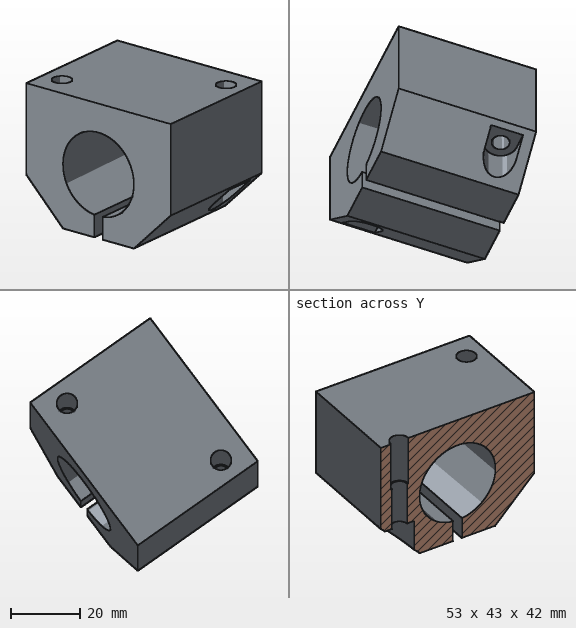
import cadquery as cq

length = 53.0
width = 43.0
height = 42.0
corner_cut = 13.5

bore_diameter = 26.0
bore_drop = 22.0
slit_width = 3.0

hole_diameter = 5.2
thread_diameter = 6.0
thread_depth = 15.9
recess_width = 9.95
recess_ceiling = 12.05
hole_side_inset = 6.5
hole_end_inset = 8.5

bore_height = height - bore_drop
hole_x = length / 2 - hole_side_inset
hole_y = width / 2 - hole_end_inset


def make_body():
    """Rectangular block with both lower long edges cut at 45 degrees."""
    block = cq.Workplane("XY").box(length, width, height, centered=(True, True, False))
    return block.faces("<Z").edges("|Y").chamfer(corner_cut)


def make_clamp_opening():
    """Through bore together with the slit below it."""
    bore = (
        cq.Workplane("XZ")
        .center(0, bore_height)
        .circle(bore_diameter / 2)
        .extrude(width / 2, both=True)
    )
    slit = cq.Workplane("XY").box(slit_width, width, bore_height, centered=(True, True, False))
    return bore.union(slit)


def vertical_cylinder(x, y, diameter, bottom, top):
    return (
        cq.Workplane("XY", origin=(x, y, bottom))
        .circle(diameter / 2)
        .extrude(top - bottom)
    )


def make_head_recess(side, x, y):
    """U-shaped pocket, round towards the bore and open towards the outer side."""
    round_end = vertical_cylinder(x, y, recess_width, 0, recess_ceiling)
    open_end = (
        cq.Workplane("XY", origin=(x + side * hole_side_inset / 2, y, 0))
        .box(hole_side_inset, recess_width, recess_ceiling, centered=(True, True, False))
    )
    return round_end.union(open_end)


def make_screw_hole(side):
    """Wider threaded entry at the top, core hole, and head recess in the cut corner."""
    x = side * hole_x
    y = side * hole_y
    core = vertical_cylinder(x, y, hole_diameter, 0, height)
    entry = vertical_cylinder(x, y, thread_diameter, height - thread_depth, height)
    return core.union(entry).union(make_head_recess(side, x, y))


result = make_body().cut(make_clamp_opening())
for side in (-1, 1):
    result = result.cut(make_screw_hole(side))